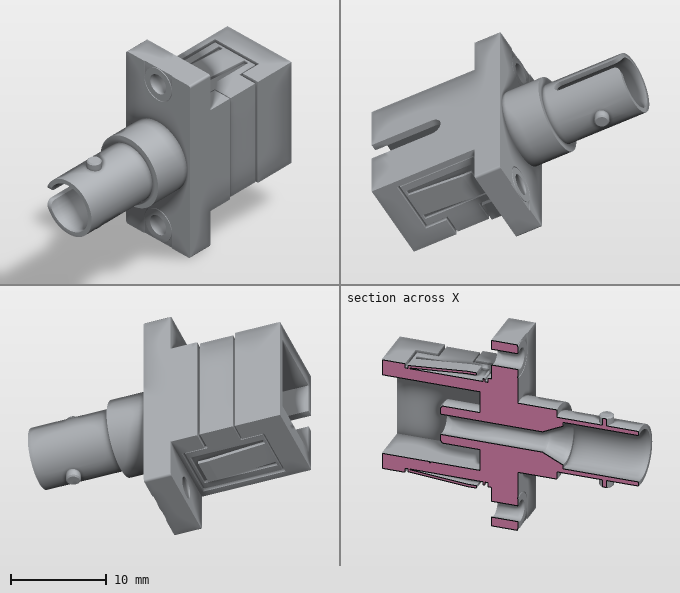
import cadquery as cq


total_length = 28.65
body_length = 12.2
flange_thickness = 3.0
collar_length = 4.33
collar_front = -collar_length
body_front = flange_thickness
body_back = flange_thickness + body_length
barrel_tip = body_back - total_length

width = 9.35
flange_height = 22.03
flange_corner_radius = 0.25
body_height = 12.92
half_width = width / 2
half_body_height = body_height / 2

cavity_side_wall = 0.8
cavity_width = width - 2 * cavity_side_wall
cavity_height = 9.25
cavity_depth = 10.9
cavity_floor = body_back - cavity_depth
tube_diameter = 4.7
tube_setback = 6.47
tube_chamfer = 0.3
key_slot_height = 2.15
key_slot_length = 8.17

screw_hole_diameter = 2.35
screw_edge_distance = 2.0
screw_z = flange_height / 2 - screw_edge_distance
washer_slot_width = 4.07
washer_slot_depth = 0.1
bushing_diameter = 3.87

collar_diameter = 8.4
barrel_diameter = 6.7
barrel_bore_diameter = 5.65
cone_diameter = 4.78
axis_hole_diameter = 2.78
bore_floor = collar_front - 0.65
cone_depth = 2.3
cone_end = bore_floor + cone_depth

barrel_slot_width = 1.3
barrel_slot_end = collar_front - 1.43
barrel_slot_mouth_radius = 0.8

pin_diameter = 1.58
pin_chamfer = 0.15
pin_y = collar_front - 5.27
pin_reach = collar_diameter / 2

recess_depth = 0.5
clip_thickness = 0.35
clip_gap = 0.25
recess_left = -3.95
recess_right = 2.45
recess_back = body_back - 2.6
recess_front = body_back - 11.78
side_recess_back = body_back - 5.05
side_recess_front = body_back - 9.25
clip_sink = recess_depth - clip_thickness

window_margin_x = 0.8
window_margin_y = 0.25
tongue_width = 3.1
tongue_rise = 0.4
tongue_bend = body_back - 9.5
tongue_tip = body_back - 10.57


def block(x_min, x_max, y_min, y_max, z_min, z_max):
    size = (x_max - x_min, y_max - y_min, z_max - z_min)
    return cq.Workplane("XY").box(*size, centered=False).translate((x_min, y_min, z_min))


def axial_cylinder(diameter, y_start, y_end):
    """Cylinder on the optical axis from y_start towards -Y to y_end."""
    return cq.Workplane("XZ", origin=(0, y_start, 0)).circle(diameter / 2).extrude(y_start - y_end)


def mirrored_in_z(solid):
    return solid.union(solid.mirror("XY"))


def make_body():
    body = block(-half_width, half_width, body_front, body_back, -half_body_height, half_body_height)
    flange = (
        cq.Workplane("XZ", origin=(0, flange_thickness, 0))
        .rect(width, flange_height)
        .extrude(flange_thickness)
        .edges("|Y")
        .fillet(flange_corner_radius)
    )
    return body.union(flange)


def make_cavity():
    """Rectangular socket that leaves the chamfered inner tube standing on its floor."""
    cavity = block(
        -cavity_width / 2, cavity_width / 2,
        cavity_floor, body_back,
        -cavity_height / 2, cavity_height / 2,
    )
    tube = axial_cylinder(tube_diameter, body_back - tube_setback, cavity_floor)
    return cavity.cut(tube.faces(">Y").chamfer(tube_chamfer))


def make_key_slot():
    """Round-ended slot through the -X wall, open at the back."""
    radius = key_slot_height / 2
    arc_y = body_back - key_slot_length + radius
    return (
        cq.Workplane("YZ", origin=(-half_width, 0, 0))
        .moveTo(body_back, radius)
        .lineTo(arc_y, radius)
        .threePointArc((arc_y - radius, 0), (arc_y, -radius))
        .lineTo(body_back, -radius)
        .close()
        .extrude(cavity_side_wall)
    )


def make_washer_slot():
    """Shallow slot around the upper screw hole, open to the flange end.

    A round bushing is left standing in it, flush with the flange face.
    """
    radius = washer_slot_width / 2
    slot = (
        cq.Workplane("XZ")
        .moveTo(-radius, flange_height / 2)
        .lineTo(-radius, screw_z)
        .threePointArc((0, screw_z - radius), (radius, screw_z))
        .lineTo(radius, flange_height / 2)
        .close()
        .extrude(-washer_slot_depth)
    )
    bushing = cq.Workplane("XZ").center(0, screw_z).circle(bushing_diameter / 2).extrude(-washer_slot_depth)
    return slot.cut(bushing)


def make_screw_hole():
    return cq.Workplane("XZ").center(0, screw_z).circle(screw_hole_diameter / 2).extrude(-flange_thickness)


def make_barrel():
    collar = axial_cylinder(collar_diameter, 0, collar_front)
    barrel = axial_cylinder(barrel_diameter, collar_front, barrel_tip)
    return collar.union(barrel)


def make_pin():
    pin = cq.Workplane("XY").center(0, pin_y).circle(pin_diameter / 2).extrude(pin_reach)
    return pin.faces(">Z").chamfer(pin_chamfer)


def make_axis_bore():
    """Barrel bore, cone and through hole, revolved about the optical axis."""
    return (
        cq.Workplane("XY")
        .moveTo(0, barrel_tip)
        .lineTo(barrel_bore_diameter / 2, barrel_tip)
        .lineTo(barrel_bore_diameter / 2, bore_floor)
        .lineTo(cone_diameter / 2, bore_floor)
        .lineTo(axis_hole_diameter / 2, cone_end)
        .lineTo(axis_hole_diameter / 2, body_back)
        .lineTo(0, body_back)
        .close()
        .revolve(360, (0, 0, 0), (0, 1, 0))
    )


def make_barrel_slot():
    """Slot in the -X side of the barrel: round inner end, mouth flared by two fillet arcs."""
    half_slot = barrel_slot_width / 2
    half_mouth = half_slot + barrel_slot_mouth_radius
    arc_y = barrel_slot_end - half_slot
    flare_y = barrel_tip + barrel_slot_mouth_radius
    return (
        cq.Workplane("YZ")
        .moveTo(barrel_tip, -half_mouth)
        .radiusArc((flare_y, -half_slot), barrel_slot_mouth_radius)
        .lineTo(arc_y, -half_slot)
        .threePointArc((barrel_slot_end, 0), (arc_y, half_slot))
        .lineTo(flare_y, half_slot)
        .radiusArc((barrel_tip, half_mouth), barrel_slot_mouth_radius)
        .close()
        .extrude(-barrel_diameter / 2)
    )


def make_wrap(gap, sink, thickness):
    """U-shaped layer over the top, +X side and bottom of the body.

    gap shrinks its outline, sink is its depth below the body faces.
    """
    x_outer = half_width - sink
    z_outer = half_body_height - sink
    panel = block(
        recess_left + gap, recess_right - gap,
        recess_front + gap, recess_back - gap,
        z_outer - thickness, z_outer,
    )
    y_min = side_recess_front + gap
    y_max = side_recess_back - gap
    arm = block(recess_right - gap, x_outer, y_min, y_max, z_outer - thickness, z_outer)
    side = block(x_outer - thickness, x_outer, y_min, y_max, -z_outer, z_outer)
    return mirrored_in_z(panel.union(arm)).union(side)


def make_tongue(tongue_centre):
    """Upper spring tongue: ramps up from the clip's back edge, then runs level to its tip."""
    root = recess_back - clip_gap
    root_z = half_body_height - clip_sink
    top_z = half_body_height + tongue_rise
    outline = [
        (root, root_z),
        (tongue_bend, top_z),
        (tongue_tip, top_z),
        (tongue_tip, top_z - clip_thickness),
        (tongue_bend, top_z - clip_thickness),
        (root, root_z - clip_thickness),
    ]
    return (
        cq.Workplane("YZ", origin=(tongue_centre - tongue_width / 2, 0, 0))
        .polyline(outline)
        .close()
        .extrude(tongue_width)
    )


def make_clip():
    clip_left = recess_left + clip_gap
    clip_right = recess_right - clip_gap
    window = block(
        clip_left + window_margin_x, clip_right - window_margin_x,
        recess_front + clip_gap + window_margin_y, recess_back - clip_gap - window_margin_y,
        half_body_height - recess_depth, half_body_height,
    )
    clip = make_wrap(clip_gap, clip_sink, clip_thickness).cut(mirrored_in_z(window))
    return clip.union(mirrored_in_z(make_tongue((clip_left + clip_right) / 2)))


result = (
    make_body()
    .union(make_barrel())
    .union(mirrored_in_z(make_pin()))
    .cut(make_cavity())
    .cut(make_key_slot())
    .cut(make_axis_bore())
    .cut(make_barrel_slot())
    .cut(mirrored_in_z(make_washer_slot()))
    .cut(mirrored_in_z(make_screw_hole()))
    .cut(make_wrap(0, 0, recess_depth))
    .union(make_clip())
)